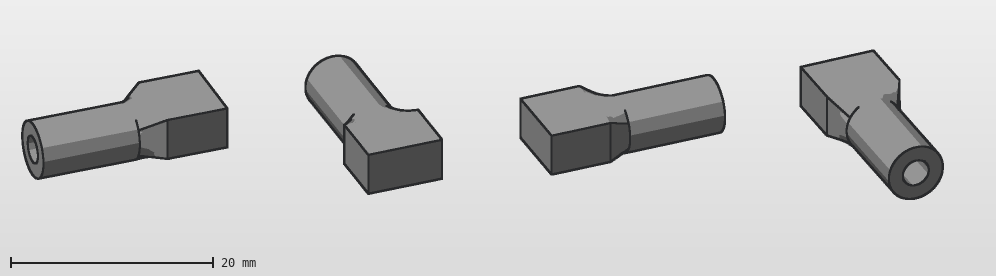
import cadquery as cq

total_length = 19.05
tube_diameter = 5.85
tube_length = 10.2
bore_diameter = 2.8
bore_depth = tube_length
neck_length = 2.53
block_width = 7.87
block_height = 4.45
block_top = 2.85

block_start = tube_length + neck_length
block_length = total_length - block_start
block_center_z = block_top - block_height / 2


def section_plane(y):
    """Plane across the part, facing +Y; local x is Z and local y is X."""
    return cq.Plane(origin=(0, y, 0), xDir=(0, 0, 1), normal=(0, 1, 0))


def block_outline():
    """Rectangle at the front of the block, offset upwards from the tube axis."""
    return (
        cq.Workplane(section_plane(block_start))
        .center(block_center_z, 0)
        .rect(block_height, block_width)
    )


def make_tube():
    return cq.Workplane(section_plane(0)).circle(tube_diameter / 2).extrude(tube_length)


def make_neck():
    """Ruled transition from the round tube to the rectangular block."""
    tube_end = cq.Workplane(section_plane(tube_length)).circle(tube_diameter / 2)
    sections = [tube_end.wires().val(), block_outline().wires().val()]
    return cq.Workplane(cq.Solid.makeLoft(sections, True))


def make_block():
    return block_outline().extrude(block_length)


def make_bore():
    """Blind, flat-bottomed hole along the tube."""
    return cq.Workplane(section_plane(0)).circle(bore_diameter / 2).extrude(bore_depth)


result = make_tube().union(make_neck()).union(make_block()).cut(make_bore())